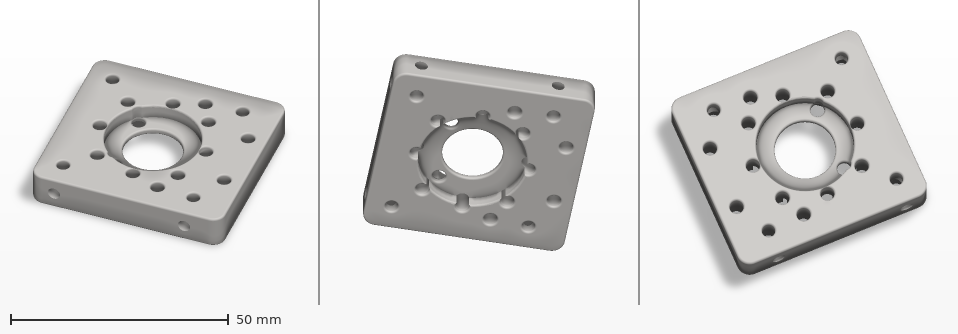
import cadquery as cq
import math

LENGTH = 47.0
WIDTH = 44.0
HEIGHT = 8.0
CORNER_RADIUS = 3.0
EDGE_ROUND = 0.5

BORE_X = (WIDTH - LENGTH) / 2
BORE_DIAMETER = 14.0
UPPER_POCKET_DIAMETER = 22.5
UPPER_POCKET_DEPTH = 3.5
LOWER_POCKET_DIAMETER = 25.0
LOWER_POCKET_DEPTH = 3.0

MOUTH_ROUND = 0.45

CORNER_HOLE_OFFSET = 16.0
CORNER_HOLE_DIAMETER = 3.0
Y_SIDE_HOLE_DEPTH = 5.5
X_SIDE_HOLE_DEPTH = 6.5

SCREW_HOLE_DIAMETER = 3.2
AXIS_CIRCLE_RADIUS = 13.0
DIAGONAL_CIRCLE_RADIUS = 14.0

HEX_CIRCLE_SHIFT = 7.0
HEX_CIRCLE_X = BORE_X + HEX_CIRCLE_SHIFT
HEX_CIRCLE_RADIUS = 15.5

TOP = HEIGHT / 2
BOTTOM = -HEIGHT / 2
WEB_TOP = TOP - UPPER_POCKET_DEPTH
WEB_BOTTOM = BOTTOM + LOWER_POCKET_DEPTH


def circle_points(center_x, radius, count, start_angle):
    """Evenly spaced points on a circle centred on the X axis."""
    angles = [math.radians(start_angle + 360 / count * i) for i in range(count)]
    return [(center_x + radius * math.cos(a), radius * math.sin(a)) for a in angles]


def rounded_cutter(x, y, diameter, low, high, round_low=True):
    """Vertical round cutter from low to high that flares to leave rounded mouths."""
    radius = diameter / 2
    flare = radius + MOUTH_ROUND
    inset = MOUTH_ROUND * (1 - math.sqrt(0.5))
    profile = cq.Workplane("XZ").moveTo(0, low)
    if round_low:
        profile = profile.lineTo(flare, low)
        profile = profile.threePointArc((radius + inset, low + inset), (radius, low + MOUTH_ROUND))
    else:
        profile = profile.lineTo(radius, low)
    profile = profile.lineTo(radius, high - MOUTH_ROUND)
    profile = profile.threePointArc((radius + inset, high - inset), (flare, high))
    profile = profile.lineTo(0, high).close()
    return profile.revolve(360, (0, 0), (0, 1)).translate((x, y, 0))


def make_plate():
    """Plate with rounded corners and rounded top and bottom edges."""
    plate = cq.Workplane("XY").box(LENGTH, WIDTH, HEIGHT)
    plate = plate.edges("|Z").fillet(CORNER_RADIUS)
    return plate.faces("<Z or >Z").edges().fillet(EDGE_ROUND)


def cut_pocketed_bore(body):
    """Upper and lower pockets, joined by a bore through the web."""
    upper_pocket = rounded_cutter(BORE_X, 0, UPPER_POCKET_DIAMETER, WEB_TOP, TOP, round_low=False)
    lower_pocket = rounded_cutter(BORE_X, 0, LOWER_POCKET_DIAMETER, -WEB_BOTTOM, TOP, round_low=False)
    lower_pocket = lower_pocket.mirror("XY")
    bore = rounded_cutter(BORE_X, 0, BORE_DIAMETER, WEB_BOTTOM, WEB_TOP)
    return body.cut(upper_pocket).cut(lower_pocket).cut(bore)


def cut_screw_holes(body):
    """Through holes; those inside the pockets also get rounded mouths in the web."""
    points = circle_points(BORE_X, AXIS_CIRCLE_RADIUS, 4, 0)
    points += circle_points(BORE_X, DIAGONAL_CIRCLE_RADIUS, 4, 45)
    points += circle_points(HEX_CIRCLE_X, HEX_CIRCLE_RADIUS, 6, 30)
    for x, y in points:
        in_pocket = math.hypot(x - BORE_X, y) < UPPER_POCKET_DIAMETER / 2
        body = body.cut(rounded_cutter(x, y, SCREW_HOLE_DIAMETER, BOTTOM, TOP))
        if in_pocket:
            body = body.cut(rounded_cutter(x, y, SCREW_HOLE_DIAMETER, WEB_BOTTOM, WEB_TOP))
    return body


def cut_side_hole(body, start, direction, depth):
    """Blind hole drilled from a side face."""
    drill = cq.Solid.makeCylinder(CORNER_HOLE_DIAMETER / 2, depth, cq.Vector(*start), cq.Vector(*direction))
    return body.cut(cq.Workplane(drill))


def cut_corner_holes(body):
    """Vertical corner holes, met by blind holes from the -X, -Y and +Y faces."""
    for side_y in (-1, 1):
        y = side_y * CORNER_HOLE_OFFSET
        for side_x in (-1, 1):
            x = BORE_X + side_x * CORNER_HOLE_OFFSET
            body = body.cut(rounded_cutter(x, y, CORNER_HOLE_DIAMETER, BOTTOM, TOP))
            body = cut_side_hole(body, (x, side_y * WIDTH / 2, 0), (0, -side_y, 0), Y_SIDE_HOLE_DEPTH)
        body = cut_side_hole(body, (-LENGTH / 2, y, 0), (1, 0, 0), X_SIDE_HOLE_DEPTH)
    return body


result = cut_corner_holes(cut_screw_holes(cut_pocketed_bore(make_plate()))).solids()